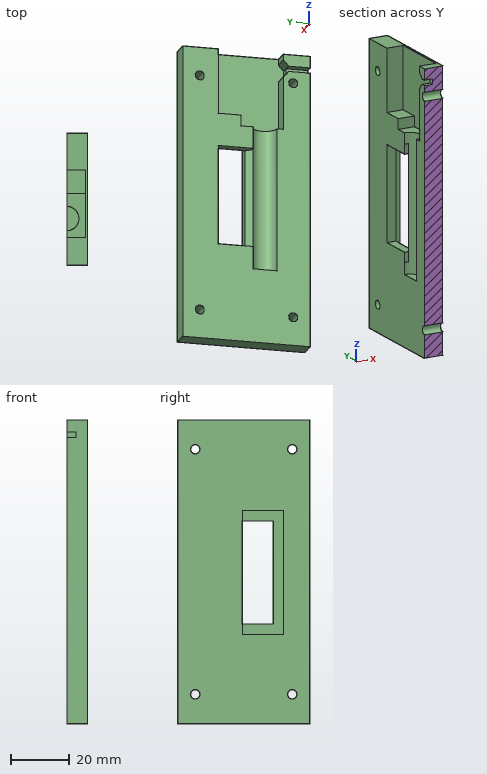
import cadquery as cq

thickness = 7.2
width = 45.2
height = 104.0

hole_diameter = 3.1
hole_side_inset = 6.0
hole_end_inset = 10.1

pocket_depth = 6.3
pocket_low_y = 9.6
pocket_high_y = 32.7
pocket_step_y = 24.6
pocket_step_z = height - 23.1
pocket_floor_z = height - 26.9

slot_depth = 3.1
slot_height = 1.9
slot_center_z = height - 5.1
flare_length = 1.9
flare_height = 6.0

groove_radius = 4.2
groove_center_y = 16.0
groove_bottom_z = height - 77.8

skin_thickness = 3.5
window_low_y = groove_center_y + groove_radius
window_high_y = pocket_high_y
window_bottom_z = height - 69.8
window_top_z = height - 34.6
recess_margin = 3.6
recess_low_y = 22.2
recess_high_y = window_high_y + recess_margin
recess_bottom_z = window_bottom_z - recess_margin
recess_top_z = window_top_z + recess_margin

bevel_front_y = recess_low_y - skin_thickness
bevel_start_x = window_low_y - bevel_front_y


def block(x_range, y_range, z_range):
    """Box spanning the given (low, high) pairs."""
    spans = (x_range, y_range, z_range)
    sizes = [high - low for low, high in spans]
    corner = tuple(low for low, high in spans)
    return cq.Workplane("XY").box(*sizes, centered=False).translate(corner)


def front_cut(outline, depth):
    """Cut with a (Y, Z) outline, sunk from the front face."""
    return cq.Workplane("YZ").polyline(outline).close().extrude(depth)


def vertical_cut(outline, bottom_z, top_z):
    """Cut with an (X, Y) outline between two heights."""
    plane = cq.Workplane("XY").workplane(offset=bottom_z)
    return plane.polyline(outline).close().extrude(top_z - bottom_z)


def stepped_pocket():
    flare_tip_y = pocket_low_y - flare_length
    outline = [
        (pocket_high_y, height),
        (pocket_high_y, pocket_step_z),
        (pocket_step_y, pocket_step_z),
        (pocket_step_y, pocket_floor_z),
        (pocket_low_y, pocket_floor_z),
        (pocket_low_y, slot_center_z - flare_height / 2),
        (flare_tip_y, slot_center_z - slot_height / 2),
        (flare_tip_y, slot_center_z + slot_height / 2),
        (pocket_low_y, slot_center_z + flare_height / 2),
        (pocket_low_y, height),
    ]
    return front_cut(outline, pocket_depth)


def cable_slot():
    z_range = (slot_center_z - slot_height / 2, slot_center_z + slot_height / 2)
    return block((0, slot_depth), (0, pocket_low_y), z_range)


def groove():
    plane = cq.Workplane("XY").workplane(offset=groove_bottom_z)
    return plane.center(0, groove_center_y).circle(groove_radius).extrude(pocket_floor_z - groove_bottom_z)


def window():
    outline = [
        (0, window_low_y),
        (bevel_start_x, window_low_y),
        (skin_thickness, recess_low_y),
        (skin_thickness, window_high_y),
        (0, window_high_y),
    ]
    return vertical_cut(outline, window_bottom_z, window_top_z)


def groove_edge_relief():
    """Squares off the groove edge where the bevel meets it."""
    outline = [(0, bevel_front_y), (bevel_start_x, window_low_y), (0, window_low_y)]
    return vertical_cut(outline, recess_bottom_z, recess_top_z)


def rear_recess():
    return block(
        (skin_thickness, thickness),
        (recess_low_y, recess_high_y),
        (recess_bottom_z, recess_top_z),
    )


def screw_holes():
    centers = [
        (y, z)
        for y in (hole_side_inset, width - hole_side_inset)
        for z in (hole_end_inset, height - hole_end_inset)
    ]
    return cq.Workplane("YZ").pushPoints(centers).circle(hole_diameter / 2).extrude(thickness)


result = block((0, thickness), (0, width), (0, height))
for feature in (
    stepped_pocket,
    cable_slot,
    groove,
    window,
    groove_edge_relief,
    rear_recess,
    screw_holes,
):
    result = result.cut(feature())